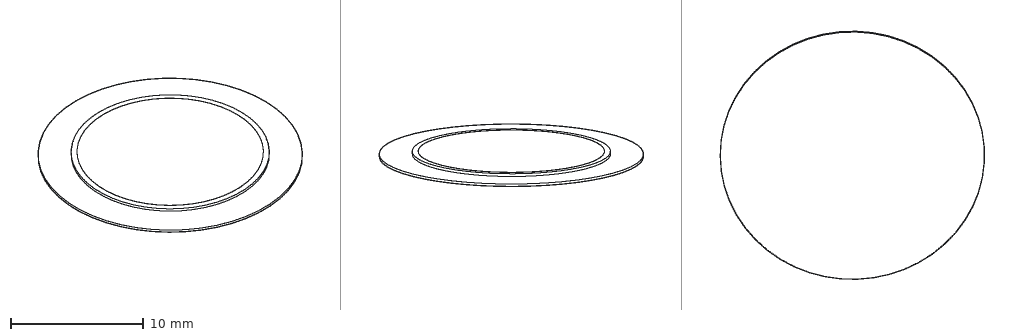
import cadquery as cq

PLATE_DIAMETER = 20.0
PLATE_THICKNESS = 0.2
CERAMIC_DIAMETER = 15.0
CERAMIC_THICKNESS = 0.21
ELECTRODE_DIAMETER = 14.1
ELECTRODE_THICKNESS = 0.01


def add_layer(body, diameter, thickness):
    """Add a round layer centred on the top face of the body."""
    return body.faces(">Z").workplane(origin=(0, 0, 0)).circle(diameter / 2).extrude(thickness)


plate = cq.Workplane("XY").circle(PLATE_DIAMETER / 2).extrude(PLATE_THICKNESS)
plate_with_ceramic = add_layer(plate, CERAMIC_DIAMETER, CERAMIC_THICKNESS)
result = add_layer(plate_with_ceramic, ELECTRODE_DIAMETER, ELECTRODE_THICKNESS)